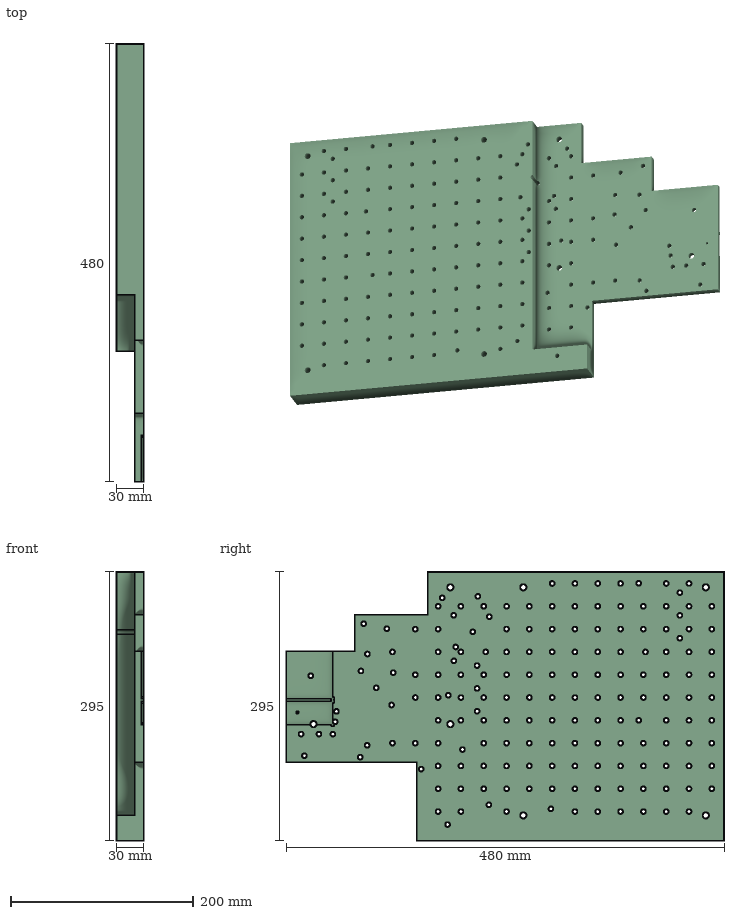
import cadquery as cq

THICKNESS = 30.0
LENGTH = 480.0
HEIGHT = 295.0

PLATE_THICKNESS = 10.0
PLATE_FRONT = THICKNESS - PLATE_THICKNESS
TOP_STEP_1 = (325.0, 47.0)
TOP_STEP_2 = (405.0, 87.0)
BOTTOM_STEP = (337.0, 209.0)

BLOCK_LENGTH = 275.0
FOOT_TOP = 267.0
FOOT_FILLET = 2.0

RECESS_DEPTH = 2.5
RECESS_START = 429.0
RECESS_BOTTOM = 167.5
RIB_TOP = 139.0
RIB_BOTTOM = 142.0
RELIEF_DIAMETER = 4.0

HOLE_DIAMETER = 5.0
LARGE_HOLE_DIAMETER = 6.6
PIN_HOLE_DIAMETER = 2.5
PIN_HOLE = (467.6, 154.1)

GRID_PITCH = 25.0
GRID_START = (13.4, 12.8)
GRID_ROWS = [
    [1, 2, 4, 5, 6, 7],
    [*range(13)],
    [*range(10), 12, 13],
    [0, 1, 2, 4, 5, 6, 7, 8, 9, 11, 12, 14],
    [*range(14)],
    [*range(14)],
    [0, 1, 2, *range(4, 13)],
    [*range(11), 12, 13, 14],
    [*range(13)],
    [*range(13)],
    [1, 2, 3, 4, 5, 6, 9, 11, 12],
]

LARGE_HOLES = [
    (20.0, 17.0),
    (220.0, 17.0),
    (300.0, 17.0),
    (300.0, 167.0),
    (450.0, 167.0),
    (20.0, 267.0),
    (220.0, 267.0),
]

BLOCK_HOLES = [
    (93.6, 12.6), (48.4, 22.8), (48.4, 47.8), (48.4, 72.8),
    (86.1, 87.8), (93.5, 162.8), (189.7, 259.8),
    (269.8, 26.9), (257.3, 49.2), (275.4, 65.8), (261.2, 87.8),
    (270.7, 102.8), (270.7, 127.8), (270.7, 152.8), (257.7, 255.4), (303.0, 277.0),
]
PLATE_HOLES = [
    (308.9, 28.6), (296.4, 47.7), (294.1, 82.4), (296.1, 97.6),
    (302.2, 135.3), (286.7, 194.8), (331.9, 216.2),
    (395.0, 56.9), (369.6, 62.4), (390.9, 90.1), (398.0, 108.7), (362.6, 110.5),
    (381.2, 127.2), (364.4, 146.0), (391.2, 190.2), (398.8, 203.1),
    (453.0, 113.9), (424.8, 153.0), (426.3, 164.4), (428.7, 177.9),
    (444.0, 177.9), (463.6, 177.9), (459.9, 201.6),
]


def to_yz(point):
    """Turn an (along, down) place into (Y, Z)."""
    along, down = point
    return (LENGTH - along, HEIGHT - down)


def cylinders(points, diameter, x_start, depth):
    """Cylinders along +X, one at each (along, down) place."""
    centres = [to_yz(point) for point in points]
    sketch = cq.Workplane("YZ", origin=(x_start, 0, 0)).pushPoints(centres)
    return sketch.circle(diameter / 2).extrude(depth)


def box(start, end, x_start, depth):
    """Box along +X between two opposite (along, down) corners."""
    corners = [start, (end[0], start[1]), end, (start[0], end[1])]
    sketch = cq.Workplane("YZ", origin=(x_start, 0, 0)).polyline([to_yz(corner) for corner in corners])
    return sketch.close().extrude(depth)


def stepped_body():
    """Full outline of the part at full thickness."""
    outline = [
        (0, 0),
        (TOP_STEP_1[0], 0),
        TOP_STEP_1,
        (TOP_STEP_2[0], TOP_STEP_1[1]),
        TOP_STEP_2,
        (LENGTH, TOP_STEP_2[1]),
        (LENGTH, BOTTOM_STEP[1]),
        BOTTOM_STEP,
        (BOTTOM_STEP[0], HEIGHT),
        (0, HEIGHT),
    ]
    return cq.Workplane("YZ").polyline([to_yz(point) for point in outline]).close().extrude(THICKNESS)


def front_clearance():
    """Material removed in front of the thin plate, rounded where block and foot meet."""
    clearance = box((BLOCK_LENGTH, 0), (LENGTH, FOOT_TOP), 0, PLATE_FRONT)
    return clearance.edges("|X and >Y and <Z").fillet(FOOT_FILLET)


def tip_recesses():
    """Recesses above and below the rib, with round reliefs in their inner corners."""
    floor = THICKNESS - RECESS_DEPTH
    upper = box((RECESS_START, TOP_STEP_2[1]), (LENGTH, RIB_TOP), floor, RECESS_DEPTH)
    lower = box((RECESS_START, RIB_BOTTOM), (LENGTH, RECESS_BOTTOM), floor, RECESS_DEPTH)
    corners = [(RECESS_START, down) for down in (RIB_TOP, RIB_BOTTOM, RECESS_BOTTOM)]
    reliefs = cylinders(corners, RELIEF_DIAMETER, floor, RECESS_DEPTH)
    return upper.union(lower).union(reliefs)


def grid_points():
    """Places of the holes on the regular grid."""
    return [
        (GRID_START[0] + column * GRID_PITCH, GRID_START[1] + row * GRID_PITCH)
        for row, columns in enumerate(GRID_ROWS)
        for column in columns
    ]


def through_holes(points, diameter):
    """Cylinders through the full thickness of the part."""
    return cylinders(points, diameter, 0, THICKNESS)


result = stepped_body().cut(front_clearance()).cut(tip_recesses())
result = result.cut(through_holes(grid_points() + BLOCK_HOLES + PLATE_HOLES, HOLE_DIAMETER))
result = result.cut(through_holes(LARGE_HOLES, LARGE_HOLE_DIAMETER))
result = result.cut(through_holes([PIN_HOLE], PIN_HOLE_DIAMETER))